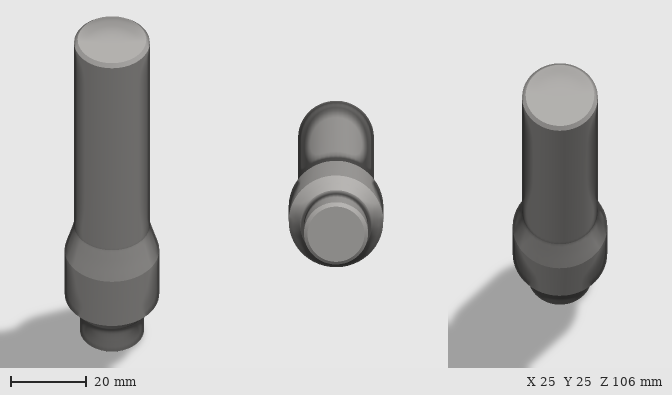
import cadquery as cq

shank_diameter = 20.0
body_diameter = 25.0
spigot_diameter = 17.0

total_height = 106.0
spigot_top = 10.0
body_bottom = 14.0
body_top = 30.0
shank_bottom = 39.1

end_chamfer = 1.0
lower_cone_diameter = 19.0

shank_radius = shank_diameter / 2
body_radius = body_diameter / 2
spigot_radius = spigot_diameter / 2

half_section = [
    (0, 0),
    (spigot_radius - end_chamfer, 0),
    (spigot_radius, end_chamfer),
    (spigot_radius, spigot_top),
    (lower_cone_diameter / 2, spigot_top),
    (body_radius, body_bottom),
    (body_radius, body_top),
    (shank_radius, shank_bottom),
    (shank_radius, total_height - end_chamfer),
    (shank_radius - end_chamfer, total_height),
    (0, total_height),
]

result = (
    cq.Workplane("XZ")
    .polyline(half_section)
    .close()
    .revolve(360, (0, 0, 0), (0, 1, 0))
)